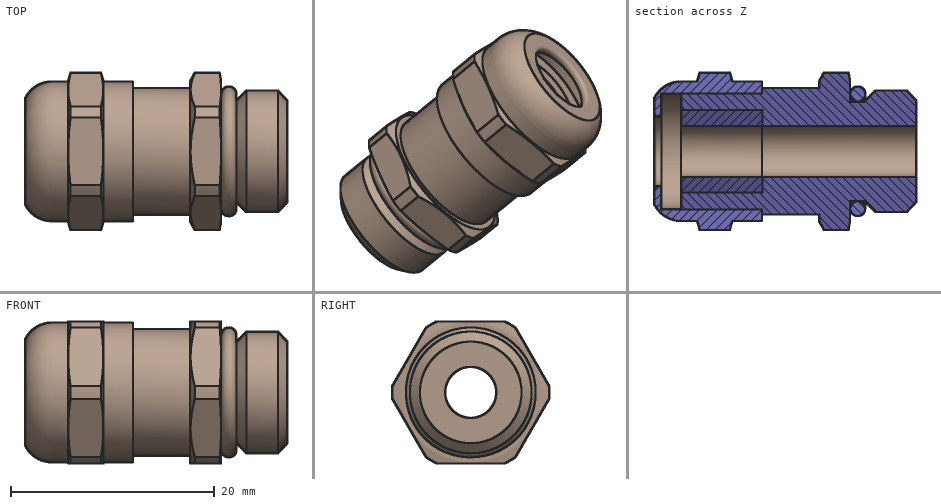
import cadquery as cq
import math


overall_length = 25.78
hex_across_flats = 14.0
hex_corner_diameter = 15.5

nut_diameter = 13.8
nut_face_diameter = 10.5
nut_nose_length = 2.68
nut_hex_start = 4.2
nut_hex_end = 7.7
nut_end = 10.62
nut_hex_chamfer = 0.25
nut_end_round = 0.15
lip_diameter = 6.8
lip_round_radius = 0.39
lip_thickness = 0.7

spigot_start = 2.65
spigot_diameter = 11.4
barrel_diameter = 12.5
body_hex_start = 16.22
body_hex_end = 19.28
body_hex_front_chamfer = 0.46
body_hex_back_chamfer = 0.15
neck_diameter = 9.8
thread_diameter = 12.0
thread_start = 21.75
thread_tip_length = 0.93
thread_tip_diameter = 10.0

seal_diameter = 8.1
bore_diameter = 5.0
seal_end = nut_end

ring_section_diameter = 1.5


def revolve_about_x(profile):
    """Turn a closed (x, radius) profile about the X axis."""
    return profile.revolve(360, (0, 0, 0), (1, 0, 0))


def cylinder(start, end, diameter):
    """Cylinder on the X axis from start to end."""
    return cq.Workplane("YZ", origin=(start, 0, 0)).circle(diameter / 2).extrude(end - start)


def chamfered_hexagon(start, end, front_chamfer, back_chamfer):
    """Hexagon with flats at +Z and -Z, its corners turned and coned down to the nut diameter."""
    point_diameter = hex_across_flats / math.cos(math.radians(30))
    prism = cq.Workplane("YZ", origin=(start, 0, 0)).polygon(6, point_diameter).extrude(end - start)
    corner_radius = hex_corner_diameter / 2
    face_radius = nut_diameter / 2
    envelope = (
        cq.Workplane("XY")
        .moveTo(start, 0)
        .lineTo(start, face_radius)
        .lineTo(start + front_chamfer, corner_radius)
        .lineTo(end - back_chamfer, corner_radius)
        .lineTo(end, face_radius)
        .lineTo(end, 0)
        .close()
    )
    return prism.intersect(revolve_about_x(envelope))


def make_nut():
    """Cap nut with a domed nose, a hexagon, a rounded mouth and a cavity for the spigot."""
    radius = nut_diameter / 2
    face_radius = nut_face_diameter / 2

    drop = radius - face_radius
    dome_radius = (nut_nose_length**2 + drop**2) / (2 * drop)
    half_angle = math.asin(nut_nose_length / dome_radius) / 2
    dome_middle = (
        nut_nose_length - dome_radius * math.sin(half_angle),
        radius - dome_radius * (1 - math.cos(half_angle)),
    )
    outside = (
        cq.Workplane("XY")
        .lineTo(0, face_radius)
        .threePointArc(dome_middle, (nut_nose_length, radius))
        .lineTo(nut_end - nut_end_round, radius)
        .tangentArcPoint((nut_end, radius - nut_end_round), relative=False)
        .lineTo(nut_end, 0)
        .close()
    )

    lip_radius = lip_diameter / 2
    round_middle = lip_round_radius * (1 - math.sin(math.radians(45)))
    mouth = (
        cq.Workplane("XY")
        .lineTo(0, lip_radius + lip_round_radius)
        .threePointArc(
            (round_middle, lip_radius + round_middle),
            (lip_round_radius, lip_radius),
        )
        .lineTo(lip_thickness, lip_radius)
        .lineTo(lip_thickness, 0)
        .close()
    )

    hexagon = chamfered_hexagon(nut_hex_start, nut_hex_end, nut_hex_chamfer, nut_hex_chamfer)
    cavity = cylinder(lip_thickness, nut_end, spigot_diameter)
    return revolve_about_x(outside).union(hexagon).cut(revolve_about_x(mouth)).cut(cavity)


def make_body():
    """Body with a spigot inside the nut, a barrel, a hexagon, a ring neck and a thread."""
    neck_radius = neck_diameter / 2
    thread_radius = thread_diameter / 2
    neck_end = thread_start - (thread_radius - neck_radius)
    connection = (
        cq.Workplane("XY")
        .moveTo(body_hex_end, 0)
        .lineTo(body_hex_end, neck_radius)
        .lineTo(neck_end, neck_radius)
        .lineTo(thread_start, thread_radius)
        .lineTo(overall_length - thread_tip_length, thread_radius)
        .lineTo(overall_length, thread_tip_diameter / 2)
        .lineTo(overall_length, 0)
        .close()
    )
    spigot = cylinder(spigot_start, nut_end, spigot_diameter)
    barrel = cylinder(nut_end, body_hex_start, barrel_diameter)
    hexagon = chamfered_hexagon(
        body_hex_start, body_hex_end, body_hex_front_chamfer, body_hex_back_chamfer
    )
    seal_pocket = cylinder(spigot_start, seal_end, seal_diameter)
    cable_bore = cylinder(seal_end, overall_length, bore_diameter)
    solid = spigot.union(barrel).union(hexagon).union(revolve_about_x(connection))
    return solid.cut(seal_pocket).cut(cable_bore)


def make_seal():
    """Seal sleeve filling the pocket of the body, flush with the end of the spigot."""
    sleeve = cylinder(spigot_start, seal_end, seal_diameter)
    return sleeve.cut(cylinder(spigot_start, seal_end, bore_diameter))


def make_ring():
    """O-ring seated on the neck and touching the hexagon of the body."""
    section_radius = ring_section_diameter / 2
    centre = (body_hex_end + section_radius, neck_diameter / 2 + section_radius)
    section = cq.Workplane("XY").pushPoints([centre]).circle(section_radius)
    return revolve_about_x(section)


nut = make_nut()
body = make_body()
seal = make_seal()
ring = make_ring()

result = cq.Compound.makeCompound([nut.val(), body.val(), seal.val(), ring.val()])